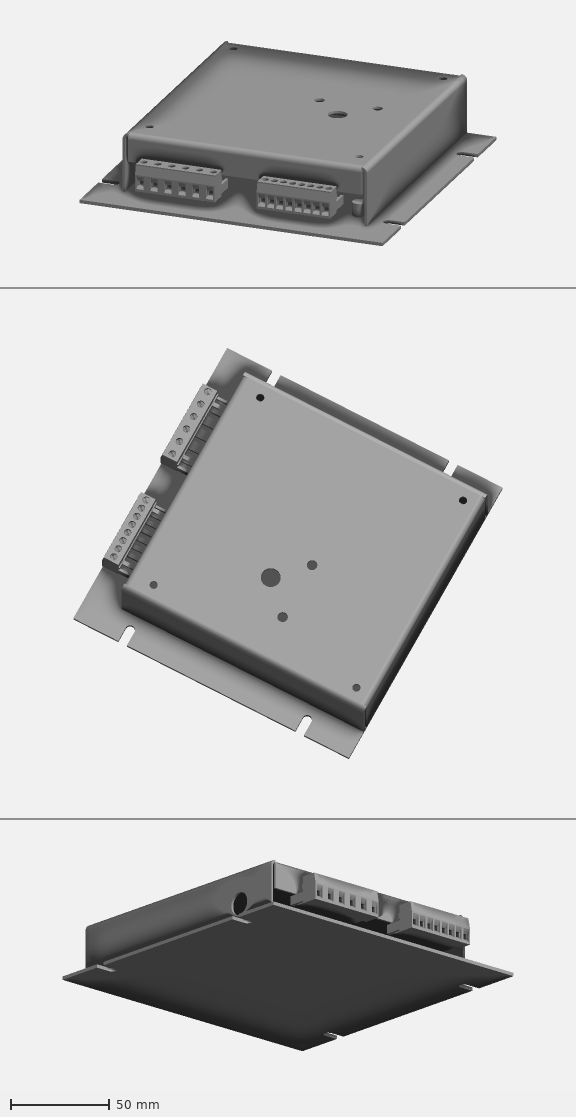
import cadquery as cq

plate_width = 165.1
plate_depth = 158.8
plate_thickness = 1.8
slot_width = 5.0
slot_length = 10.5
slot_inset = 28.4
standoff_diameter = 7.5
standoff_height = 7.1

overall_height = 33.4
cover_width = 133.2
cover_front = 19.2
sheet = 1.3
bend_radius = 3.0
front_flange_bottom = 18.3
flange_width = cover_width - 2 * bend_radius

fixing_spacing_x = 114.4
fixing_spacing_y = 116.9
fixing_middle_y = 91.1
fixing_hole_diameter = 4.1
small_hole_diameter = 5.3
small_hole_spacing = 31.7
small_hole_y = 98.5
large_hole_diameter = 10.0
large_hole_y = 83.2
hole_group_x = 25.6
side_hole_diameter = 11.9
side_hole_y = 43.3
side_hole_z = 15.4

block_front = 1.0
block_rear = 10.4
block_bottom = 10.4
block_top = 24.8
brow_bottom = 19.3
brow_top = 24.1
brow_setback = 1.0
tongue_rear = 19.8
tongue_bottom = 11.0
tongue_top = 16.5
ledge_length = 0.7
ledge_root = 17.3
keel_height = 0.7
keel_inset = 1.3

groove_width = 2.6
groove_depth = 1.3
notch_width = 1.0
notch_front = 18.7
notch_floor = 13.9

mouth_width = 3.8
mouth_bottom = 11.7
mouth_top = 18.5
mouth_depth = 1.3
wire_hole_width = 2.8
wire_hole_bottom = 13.0
wire_hole_top = 15.8
wire_hole_depth = 5.0

screw_y = 6.3
screw_diameter = 3.8
screw_recess = 1.3
screw_slot_width = 0.8
screw_slot_length = 3.3
screw_slot_depth = 0.7
screw_slot_angle = 45

latch_width = 2.1
latch_spacing = 32.0
latch_tip = 15.0
latch_shoulder = 11.9
latch_top = 20.6
latch_bottom = 18.7
latch_step = 0.7
latch_hook = 0.8

left_poles = 6
left_pitch = 7.6
left_width = 43.5
left_x = -31.0
right_poles = 8
right_pitch = 5.0
right_width = 40.0
right_x = 33.5


def box(x_mid, width, y_range, z_range):
    """Box centred on x_mid that fills the given Y and Z ranges."""
    depth = y_range[1] - y_range[0]
    height = z_range[1] - z_range[0]
    corner = (x_mid - width / 2, y_range[0], z_range[0])
    return cq.Workplane("XY").box(width, depth, height, centered=False).translate(corner)


def extrude_along_x(points, x_mid, width):
    """Extrudes a (Y, Z) outline over a width centred on x_mid."""
    return cq.Workplane("YZ", origin=(x_mid - width / 2, 0, 0)).polyline(points).close().extrude(width)


def fixing_points():
    """The four fixing positions, one above each standoff."""
    plane = cq.Workplane("XY", origin=(0, fixing_middle_y, 0))
    return plane.rarray(fixing_spacing_x, fixing_spacing_y, 2, 2)


def make_base_plate():
    plate = box(0, plate_width, (0, plate_depth), (0, plate_thickness))
    slots = (
        cq.Workplane("XY", origin=(0, plate_depth / 2, 0))
        .rarray(plate_width, plate_depth - 2 * slot_inset, 2, 2)
        .slot2D(2 * slot_length, slot_width)
        .extrude(plate_thickness)
    )
    standoffs = (
        fixing_points()
        .circle(standoff_diameter / 2)
        .extrude(standoff_height)
        .translate((0, 0, plate_thickness))
    )
    return plate.cut(slots).union(standoffs)


def make_side_channel():
    """Roof and both side walls, bent from one sheet and open underneath."""
    outer = box(0, cover_width, (cover_front, plate_depth), (plate_thickness, overall_height))
    outer = outer.edges("|Y and >Z").fillet(bend_radius)
    inner = box(
        0,
        cover_width - 2 * sheet,
        (cover_front, plate_depth),
        (plate_thickness, overall_height - sheet),
    )
    inner = inner.edges("|Y and >Z").fillet(bend_radius - sheet)
    return outer.cut(inner)


def make_flange_channel():
    """Roof strip with the short front flange and the full-height rear flange."""
    outer = box(0, flange_width, (cover_front, plate_depth), (plate_thickness, overall_height))
    outer = outer.edges("|X and >Z").fillet(bend_radius)
    inner = box(
        0,
        flange_width,
        (cover_front + sheet, plate_depth - sheet),
        (plate_thickness, overall_height - sheet),
    )
    inner = inner.edges("|X and >Z").fillet(bend_radius - sheet)
    front_opening = box(
        0,
        flange_width,
        (cover_front, cover_front + sheet),
        (plate_thickness, front_flange_bottom),
    )
    return outer.cut(inner).cut(front_opening)


def make_bend_clearance(y_range):
    """Removes the flat roof strip that would lie above a front or rear bend."""
    return box(0, flange_width, y_range, (overall_height - bend_radius, overall_height))


def make_cover():
    channel = make_side_channel()
    channel = channel.cut(make_bend_clearance((cover_front, cover_front + bend_radius)))
    channel = channel.cut(make_bend_clearance((plate_depth - bend_radius, plate_depth)))
    cover = channel.union(make_flange_channel())

    roof_holes = fixing_points().circle(fixing_hole_diameter / 2).extrude(overall_height)
    small_holes = (
        cq.Workplane("XY", origin=(hole_group_x, small_hole_y, 0))
        .rarray(small_hole_spacing, 1.7, 2, 1)
        .circle(small_hole_diameter / 2)
        .extrude(overall_height)
    )
    large_hole = (
        cq.Workplane("XY", origin=(hole_group_x, large_hole_y, 0))
        .circle(large_hole_diameter / 2)
        .extrude(overall_height)
    )
    side_hole = (
        cq.Workplane("YZ", origin=(-cover_width / 2, side_hole_y, side_hole_z))
        .circle(side_hole_diameter / 2)
        .extrude(sheet)
    )
    return cover.cut(roof_holes).cut(small_holes).cut(large_hole).cut(side_hole)


def make_block_body(x_mid, width):
    """Block with a sloping brow, a rear ledge and the tongue that reaches under the cover."""
    slab_bottom = tongue_bottom + keel_height
    outline = [
        (block_front, block_bottom),
        (block_front, brow_bottom),
        (block_front + brow_setback, brow_top),
        (block_front + brow_setback, block_top),
        (block_rear, block_top),
        (block_rear, latch_top),
        (block_rear + ledge_length, latch_top),
        (block_rear + ledge_length, latch_bottom),
        (block_rear, ledge_root),
        (block_rear, tongue_top),
        (tongue_rear, tongue_top),
        (tongue_rear, slab_bottom),
        (block_rear, slab_bottom),
        (block_rear, block_bottom),
    ]
    body = extrude_along_x(outline, x_mid, width)
    keel = box(x_mid, width - 2 * keel_inset, (block_rear, tongue_rear), (tongue_bottom, slab_bottom))
    return body.union(keel)


def make_wire_entry(x):
    """Mouth with sloping floor and ceiling, leading into a narrower wire hole."""
    mouth = extrude_along_x(
        [
            (block_front, mouth_bottom),
            (block_front, mouth_top),
            (block_front + mouth_depth, wire_hole_top),
            (block_front + mouth_depth, wire_hole_bottom),
        ],
        x,
        mouth_width,
    )
    hole_range = (block_front, block_front + wire_hole_depth)
    return mouth.union(box(x, wire_hole_width, hole_range, (wire_hole_bottom, wire_hole_top)))


def make_screw_recess(x):
    """Round recess down to the screw head, with the driver slot in its floor."""
    top = cq.Workplane("XY", origin=(x, screw_y, block_top))
    recess = top.circle(screw_diameter / 2).extrude(-screw_recess)
    slot = (
        top.transformed(rotate=(0, 0, screw_slot_angle))
        .rect(screw_slot_length, screw_slot_width)
        .extrude(-screw_recess - screw_slot_depth)
    )
    return recess.union(slot)


def make_latch(x):
    """Lever with a hooked tip behind the block, above the tongue."""
    outline = [
        (block_rear, latch_bottom),
        (block_rear, latch_top),
        (latch_shoulder, latch_top - latch_step),
        (latch_tip - latch_hook, latch_top - latch_step),
        (latch_tip, latch_bottom),
        (latch_tip - latch_hook, latch_bottom - latch_hook),
        (latch_tip - latch_hook, latch_bottom),
    ]
    return extrude_along_x(outline, x, latch_width)


def make_terminal_block(poles, pitch, width, x_mid):
    first_pole_x = x_mid - pitch * (poles - 1) / 2
    pole_xs = [first_pole_x + i * pitch for i in range(poles)]
    gap_xs = [x + pitch / 2 for x in pole_xs[:-1]]

    block = make_block_body(x_mid, width)
    for x in pole_xs:
        block = block.cut(make_wire_entry(x)).cut(make_screw_recess(x))
        groove = box(x, groove_width, (block_rear, tongue_rear), (tongue_top - groove_depth, tongue_top))
        block = block.cut(groove)
    for x in gap_xs:
        block = block.cut(box(x, notch_width, (notch_front, tongue_rear), (notch_floor, tongue_top)))
    for x in (x_mid - latch_spacing / 2, x_mid + latch_spacing / 2):
        block = block.union(make_latch(x))
    return block


base_plate = make_base_plate()
cover = make_cover()
left_terminal_block = make_terminal_block(left_poles, left_pitch, left_width, left_x)
right_terminal_block = make_terminal_block(right_poles, right_pitch, right_width, right_x)

result = cq.Compound.makeCompound(
    [base_plate.val(), cover.val(), left_terminal_block.val(), right_terminal_block.val()]
)